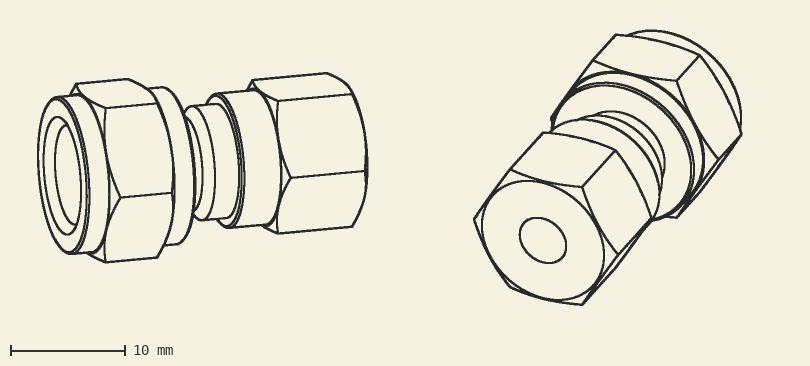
import cadquery as cq
import math


nut_hex_start = 2.0
nut_hex_end = 7.98
nut_end = 10.0
neck_end = 11.5
neck_cone_end = 12.37
body_end = 14.58
shoulder_end = 18.13
length = 26.1

nut_flats = 14.0
end_hex_flats = 12.05
collar_diameter = 13.78
neck_diameter = 8.3
body_diameter = 10.02
shoulder_diameter = 11.8
edge_chamfer = 0.18
end_face_inset = 0.13
hex_chamfer_angle = 30.0

bore_mouth_diameter = 10.3
bore_diameter = 8.71
bore_depth = 7.83
mouth_chamfer_depth = 0.78
passage_diameter = 4.5
bore_floor_angle = 30.0
bore_floor_depth = (bore_diameter - passage_diameter) / 2 * math.tan(math.radians(bore_floor_angle))


def revolve_profile(points):
    """Revolve (radius, Y) points about the Y axis."""
    return cq.Workplane("XY").polyline(points).close().revolve(360, (0, 0), (0, 1))


def cylinder(start, end, diameter, start_chamfer=0, end_chamfer=0):
    """Cylinder on the Y axis, optionally chamfered at either end."""
    solid = cq.Workplane("XZ", origin=(0, start, 0)).circle(diameter / 2).extrude(start - end)
    if start_chamfer:
        solid = solid.faces("<Y").chamfer(start_chamfer)
    if end_chamfer:
        solid = solid.faces(">Y").chamfer(end_chamfer)
    return solid


def chamfered_hex(start, end, flats, end_inset=0):
    """Hexagon with flats facing +Z and -Z, its corners cut conically at both ends."""
    corner_radius = flats / math.sqrt(3)
    start_radius = flats / 2
    end_radius = start_radius - end_inset
    slope = math.tan(math.radians(hex_chamfer_angle))
    start_drop = (corner_radius - start_radius) * slope
    end_drop = (corner_radius - end_radius) * slope
    prism = cq.Workplane("XZ", origin=(0, start, 0)).polygon(6, 2 * corner_radius).extrude(start - end)
    envelope = revolve_profile([
        (0, start),
        (start_radius, start),
        (corner_radius, start + start_drop),
        (corner_radius, end - end_drop),
        (end_radius, end),
        (0, end),
    ])
    return prism.intersect(envelope)


nut = cylinder(0, nut_end, collar_diameter, edge_chamfer, edge_chamfer)
nut = nut.union(chamfered_hex(nut_hex_start, nut_hex_end, nut_flats))

neck = revolve_profile([
    (0, nut_end),
    (neck_diameter / 2, nut_end),
    (neck_diameter / 2, neck_end),
    (body_diameter / 2, neck_cone_end),
    (body_diameter / 2, body_end),
    (0, body_end),
])
shoulder = cylinder(body_end, shoulder_end, shoulder_diameter, edge_chamfer)
end_hex = chamfered_hex(shoulder_end, length, end_hex_flats, end_face_inset)

bore = revolve_profile([
    (0, 0),
    (bore_mouth_diameter / 2, 0),
    (bore_diameter / 2, mouth_chamfer_depth),
    (bore_diameter / 2, bore_depth),
    (passage_diameter / 2, bore_depth + bore_floor_depth),
    (passage_diameter / 2, length),
    (0, length),
])

result = nut.union(neck).union(shoulder).union(end_hex).cut(bore)